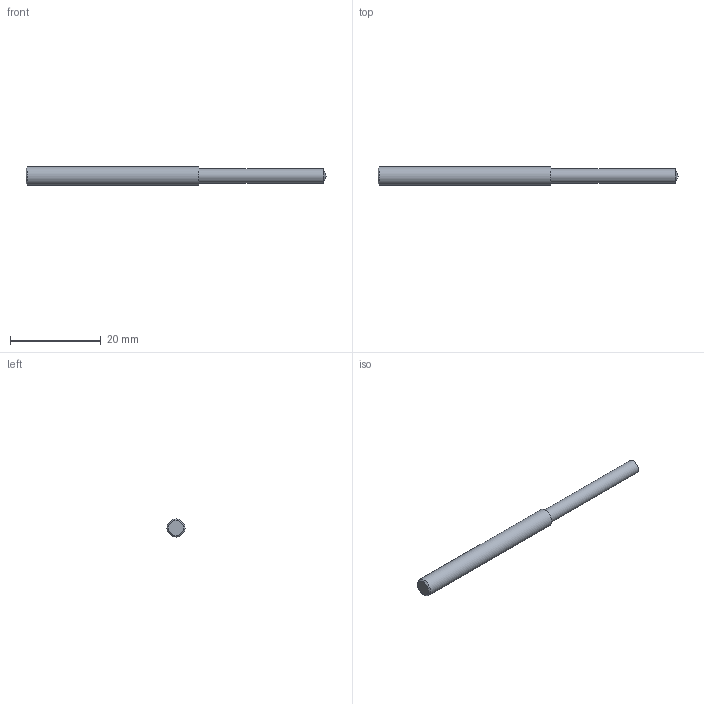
import cadquery as cq
import math

overall_length = 66.0
shank_length = 38.0
shank_diameter = 4.0
drill_diameter = 3.1
point_angle = 140.0
shank_chamfer = 0.3

shank_radius = shank_diameter / 2
drill_radius = drill_diameter / 2
point_length = drill_radius / math.tan(math.radians(point_angle / 2))
point_start = overall_length - point_length


def make_drill_blank():
    """Chamfered shank, stepped-down drill body and conical point, revolved about X."""
    half_profile = (
        cq.Workplane("XY")
        .moveTo(0, 0)
        .lineTo(0, shank_radius - shank_chamfer)
        .lineTo(shank_chamfer, shank_radius)
        .lineTo(shank_length, shank_radius)
        .lineTo(shank_length, drill_radius)
        .lineTo(point_start, drill_radius)
        .lineTo(overall_length, 0)
        .close()
    )
    return half_profile.revolve(360, (0, 0, 0), (1, 0, 0))


result = make_drill_blank()